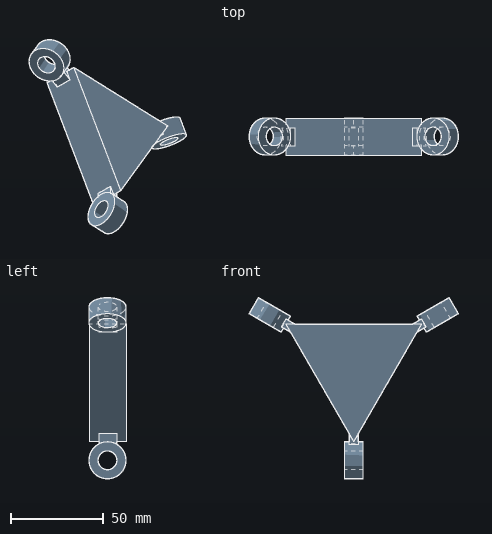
import cadquery as cq
import math

plate_side = 73.0
plate_thickness = 20.0
corner_radius = plate_side / math.sqrt(3)

eyelet_outer_diameter = 20.0
eyelet_bore_diameter = 10.0
eyelet_width = 10.0
eyelet_shift_y = 0.29
eyelet_distance = corner_radius + eyelet_outer_diameter / 2

link_width = 5.0
link_depth_y = 9.5
link_embed = 5.0

corner_count = 3
corner_angle = 360.0 / corner_count


def make_plate():
    half_side = plate_side / 2
    top_z = corner_radius / 2
    return (
        cq.Workplane("XZ")
        .moveTo(0, -corner_radius)
        .lineTo(half_side, top_z)
        .lineTo(-half_side, top_z)
        .close()
        .extrude(plate_thickness / 2, both=True)
    )


def eyelet_cylinder(diameter):
    """Cylinder along X at the lower eyelet's position."""
    return (
        cq.Workplane("YZ")
        .center(eyelet_shift_y, -eyelet_distance)
        .circle(diameter / 2)
        .extrude(eyelet_width / 2, both=True)
    )


def make_lower_eyelet():
    """Link and bored ring below the lower corner."""
    link_top = -corner_radius + link_embed
    link_length = link_top + eyelet_distance
    link = (
        cq.Workplane("XY")
        .box(link_width, link_depth_y, link_length, centered=(True, True, False))
        .translate((0, 0, -eyelet_distance))
    )
    ring = eyelet_cylinder(eyelet_outer_diameter)
    return ring.union(link).cut(eyelet_cylinder(eyelet_bore_diameter))


result = make_plate()
lower_eyelet = make_lower_eyelet()
for index in range(corner_count):
    eyelet = lower_eyelet.rotate((0, 0, 0), (0, 1, 0), index * corner_angle)
    result = result.union(eyelet)